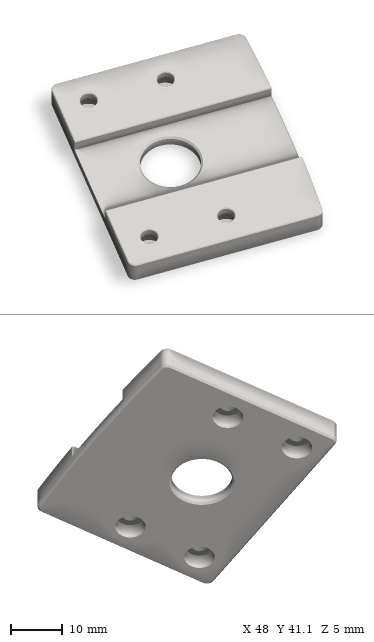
import cadquery as cq

width = 48.0
depth = 41.1
thickness = 5.0
back_bulge = 0.8
corner_radius = 1.5
bottom_chamfer = 0.4
top_chamfer = 0.2

channel_width = 18.0
channel_depth = 2.5
channel_mouth_chamfer = 0.3

opening_diameter = 12.0
opening_chamfer = 0.4
opening_from_front = 16.75

hole_diameter = 3.4
hole_chamfer = 0.2
head_diameter = 6.0
head_depth = 3.4
hole_spacing_x = 36.0
hole_spacing_y = 16.0
holes_from_front = 14.0

front_y = -depth / 2
back_y = depth / 2
shoulder_y = back_y - back_bulge
floor_z = thickness - channel_depth


def make_plate():
    """Plate with rounded corners, a bowed back edge and a chamfered underside."""
    return (
        cq.Workplane("XY")
        .moveTo(-width / 2, front_y)
        .lineTo(width / 2, front_y)
        .lineTo(width / 2, shoulder_y)
        .threePointArc((0, back_y), (-width / 2, shoulder_y))
        .close()
        .extrude(thickness)
        .edges("|Z")
        .fillet(corner_radius)
        .faces("<Z")
        .edges()
        .chamfer(bottom_chamfer)
    )


def cut_channel(plate):
    """Open the channel, then chamfer its back mouth and the tops of both side pads."""
    channel = (
        cq.Workplane("XY", origin=(0, 0, floor_z))
        .rect(channel_width, 2 * depth)
        .extrude(channel_depth)
    )
    mouth_region = cq.selectors.BoxSelector(
        (-channel_width, shoulder_y, floor_z - top_chamfer),
        (channel_width, back_y + back_bulge, thickness - top_chamfer),
    )
    return (
        plate.cut(channel)
        .edges(mouth_region)
        .chamfer(channel_mouth_chamfer)
        .faces(">Z")
        .edges()
        .chamfer(top_chamfer)
    )


def cone_cutter(start_diameter, end_diameter, start_z, height):
    """Upright cone frustum standing on start_z."""
    return (
        cq.Workplane("XY", origin=(0, 0, start_z))
        .circle(start_diameter / 2)
        .workplane(offset=height)
        .circle(end_diameter / 2)
        .loft()
    )


def bore_cutter(diameter, top_z, chamfer):
    """Through-bore up to top_z whose upper rim is chamfered."""
    bore = cq.Workplane("XY").circle(diameter / 2).extrude(top_z)
    rim = cone_cutter(diameter, diameter + 2 * chamfer, top_z - chamfer, chamfer)
    return bore.union(rim)


def cut_opening(plate):
    """Large central opening through the channel floor."""
    bottom_diameter = opening_diameter + 2 * opening_chamfer
    bottom_rim = cone_cutter(bottom_diameter, opening_diameter, 0, opening_chamfer)
    cutter = bore_cutter(opening_diameter, floor_z, opening_chamfer).union(bottom_rim)
    return plate.cut(cutter.translate((0, front_y + opening_from_front, 0)))


def cut_screw_holes(plate):
    """Four holes through the pads with screw-head pockets underneath."""
    head_pocket = cq.Workplane("XY").circle(head_diameter / 2).extrude(head_depth)
    cutter = bore_cutter(hole_diameter, thickness, hole_chamfer).union(head_pocket)
    middle_y = front_y + holes_from_front
    for side in (-1, 1):
        for end in (-1, 1):
            x = side * hole_spacing_x / 2
            y = middle_y + end * hole_spacing_y / 2
            plate = plate.cut(cutter.translate((x, y, 0)))
    return plate


plate = make_plate()
plate = cut_channel(plate)
plate = cut_opening(plate)
result = cut_screw_holes(plate)